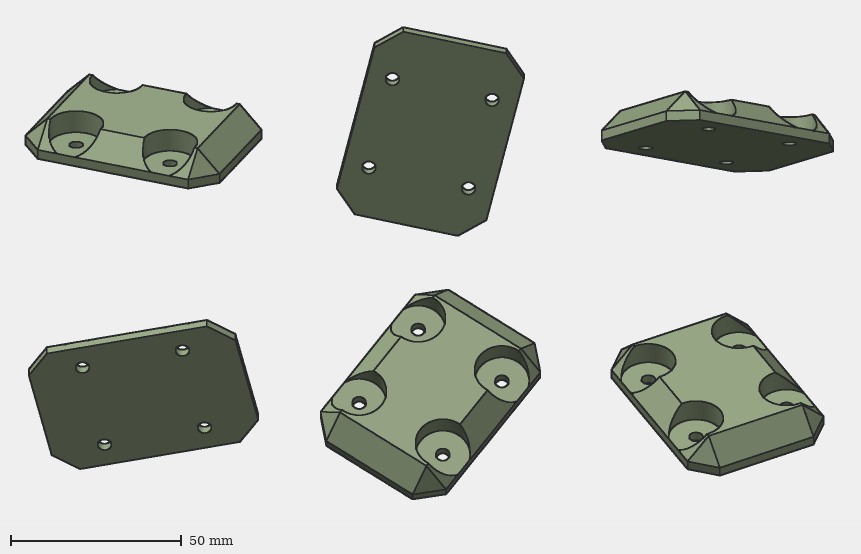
import cadquery as cq

length = 62.0
width = 45.0
height = 10.0
bevel = 7.0
hole_spacing = 30.0
hole_diameter = 4.0
pocket_diameter = 16.0

rim_height = height - bevel
half_length = length / 2
half_width = width / 2
top_half_length = half_length - bevel
top_half_width = half_width - bevel


def octagon(z):
    """Corners of the outer outline at height z, counterclockwise from the +X side."""
    return [
        (half_length, -top_half_width, z),
        (half_length, top_half_width, z),
        (top_half_length, half_width, z),
        (-top_half_length, half_width, z),
        (-half_length, top_half_width, z),
        (-half_length, -top_half_width, z),
        (-top_half_length, -half_width, z),
        (top_half_length, -half_width, z),
    ]


def flat_face(points):
    vectors = [cq.Vector(*point) for point in points]
    return cq.Face.makeFromWires(cq.Wire.makePolygon(vectors, close=True))


def make_beveled_top():
    """Four sloped sides and four triangular corners rising to a flat rectangle."""
    rim = octagon(rim_height)
    top = [
        (top_half_length, top_half_width, height),
        (-top_half_length, top_half_width, height),
        (-top_half_length, -top_half_width, height),
        (top_half_length, -top_half_width, height),
    ]
    faces = [flat_face(rim), flat_face(top)]
    for i in range(4):
        side_start = rim[2 * i]
        side_end = rim[2 * i + 1]
        next_side_start = rim[(2 * i + 2) % 8]
        faces.append(flat_face([side_start, side_end, top[i], top[i - 1]]))
        faces.append(flat_face([side_end, next_side_start, top[i]]))
    return cq.Workplane(cq.Solid.makeSolid(cq.Shell.makeShell(faces)))


rim_outline = [(x, y) for x, y, _ in octagon(0)]
rim_plate = cq.Workplane("XY").polyline(rim_outline).close().extrude(rim_height)
body = rim_plate.union(make_beveled_top())

pockets = (
    cq.Workplane("XY")
    .workplane(offset=rim_height)
    .rarray(hole_spacing, hole_spacing, 2, 2)
    .circle(pocket_diameter / 2)
    .extrude(bevel)
)
holes = (
    cq.Workplane("XY")
    .rarray(hole_spacing, hole_spacing, 2, 2)
    .circle(hole_diameter / 2)
    .extrude(height)
)

result = body.cut(pockets).cut(holes)